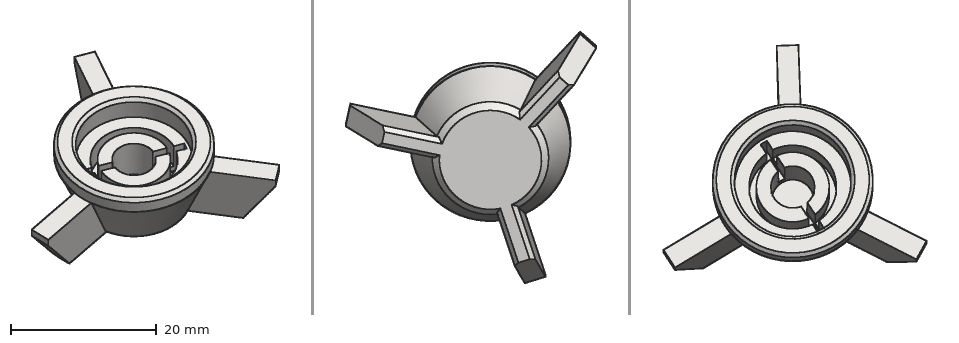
import cadquery as cq
import math

overall_width = 36.15
total_height = 11.45

rim_diameter = 22.0
rim_height = 2.4
rim_chamfer = 0.5
cone_top_radius = 10.95
cone_bottom_radius = 8.0
base_chamfer = 0.98

recess_diameter = 16.0
recess_depth = 3.5
recess_chamfer = 0.5

bore_top_diameter = 6.0
bore_bottom_diameter = 5.7
bore_floor_height = 2.0
groove_inner_diameter = 10.0
groove_outer_diameter = 12.0
groove_depth = 4.0
slot_length = 15.0
slot_width = 1.0
slot_floor_height = 3.0

fin_count = 3
fin_pitch = 360 / fin_count
fin_width = 3.0
fin_rake = 4.95
fin_tip_height = 1.2
fin_edge_chamfer = 0.7

shoulder_height = total_height - rim_height
rim_radius = rim_diameter / 2
recess_floor_height = total_height - recess_depth
fin_angle = math.radians(fin_pitch / 2)
fin_reach = (overall_width - fin_width * math.cos(fin_angle)) / (2 * math.sin(fin_angle))
fin_foot_reach = fin_reach - fin_rake


def revolve_profile(profile):
    """Solid of revolution about Z from a closed list of (radius, height) points."""
    return cq.Workplane("XZ").polyline(profile).close().revolve(360, (0, 0), (0, 1))


def make_hub():
    """Tapered hub with a chamfered base and a chamfered cylindrical rim."""
    profile = [
        (0, 0),
        (cone_bottom_radius - base_chamfer, 0),
        (cone_bottom_radius, base_chamfer),
        (cone_top_radius, shoulder_height),
        (rim_radius, shoulder_height),
        (rim_radius, total_height - rim_chamfer),
        (rim_radius - rim_chamfer, total_height),
        (0, total_height),
    ]
    return revolve_profile(profile)


def make_fin():
    """Fin pointing to -X, raked in toward its foot, with chamfered lower edges."""
    outline = [
        (0, 0),
        (-fin_foot_reach, 0),
        (-fin_reach, shoulder_height - fin_tip_height),
        (-fin_reach, shoulder_height),
        (0, shoulder_height),
    ]
    fin = cq.Workplane("XZ").polyline(outline).close().extrude(fin_width / 2, both=True)
    return fin.faces("<Z").edges("|X").chamfer(fin_edge_chamfer)


def make_recess():
    """Round recess with a chamfered mouth."""
    recess_radius = recess_diameter / 2
    profile = [
        (0, recess_floor_height),
        (recess_radius, recess_floor_height),
        (recess_radius, total_height - recess_chamfer),
        (recess_radius + recess_chamfer, total_height),
        (0, total_height),
    ]
    return revolve_profile(profile)


def make_bore():
    """Blind centre bore that narrows slightly toward its floor."""
    profile = [
        (0, bore_floor_height),
        (bore_bottom_diameter / 2, bore_floor_height),
        (bore_top_diameter / 2, recess_floor_height),
        (0, recess_floor_height),
    ]
    return revolve_profile(profile)


def make_groove():
    """Ring groove around the bore."""
    floor = cq.Workplane("XY").workplane(offset=recess_floor_height)
    rings = floor.circle(groove_outer_diameter / 2).circle(groove_inner_diameter / 2)
    return rings.extrude(-groove_depth)


def make_slot():
    """Straight slot along Y that crosses the bore and the groove."""
    floor = cq.Workplane("XY").workplane(offset=slot_floor_height)
    return floor.rect(slot_width, slot_length).extrude(recess_floor_height - slot_floor_height)


result = make_hub()
for index in range(fin_count):
    fin = make_fin().rotate((0, 0, 0), (0, 0, 1), index * fin_pitch)
    result = result.union(fin)
for cutter in (make_recess(), make_bore(), make_groove(), make_slot()):
    result = result.cut(cutter)